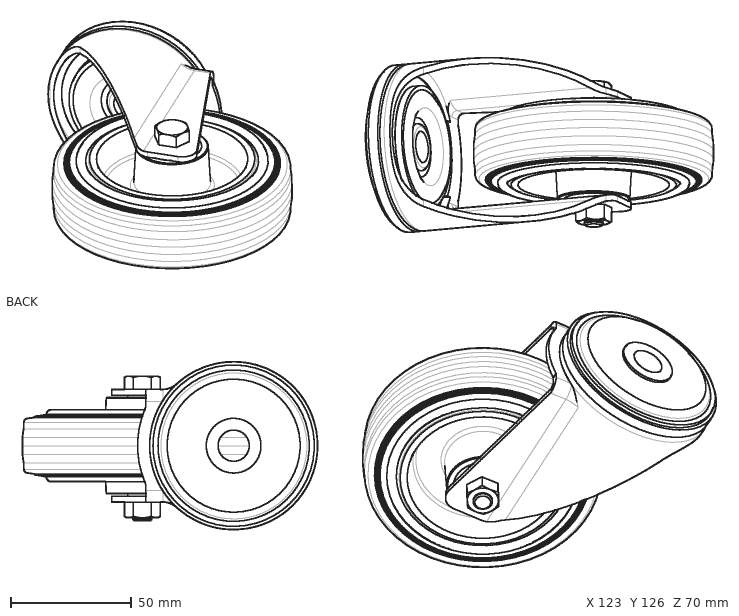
import cadquery as cq
import math


AXLE_X = 38.0
AXLE_Y = -75.0
BOLT_RADIUS = 4.0

SLEEVE_RIM_HEIGHT = 1.0
SLEEVE_RIM_RADIUS = 11.4
SLEEVE_RADIUS = 9.9
SLEEVE_BORE_RADIUS = 6.5
SLEEVE_PROTRUSION = 1.3
COVER_RADIUS = 33.6
COVER_FACE_RADIUS = 27.7
COVER_BREAK = (30.4, -2.1)
COVER_STEP_RADIUS = 31.5
COVER_STEP_Y = -2.95
COVER_BOTTOM_Y = -4.55
HEAD_RADIUS = 35.0
HEAD_TOP_Y = -8.8
HEAD_EDGE_RADIUS = 2.8

SHEET = 2.5
ARM_OUTSIDE_Z = 23.5
ARM_INSIDE_Z = ARM_OUTSIDE_Z - SHEET
ARM_BEND_RADIUS = 8.5
WEB_TOP_Y = -11.65
WEB_BEND_RADIUS = 5.0
TONGUE_RADIUS = 40.0
TONGUE_HALF_WIDTH = 16.0
SKIRT_BOTTOM_Y = -14.3
ARM_BOTTOM_Y = -88.6
ARM_REAR_TOP = (36.5, -16.5)
ARM_REAR_BOTTOM = (52.3, ARM_BOTTOM_Y)
ARM_FRONT_TOP = (-24.3, SKIRT_BOTTOM_Y)
ARM_FRONT_BOTTOM = (28.0, ARM_BOTTOM_Y)
SKIRT_CURVE_RADIUS = 19.0
ARM_FRONT_CORNER_RADIUS = 6.5
ARM_REAR_CORNER_RADIUS = 6.1

RACE_RING_RADIUS = 29.9
RACE_RING_BORE_RADIUS = 25.5
RACE_RING_ROOT_Y = -11.8
RACE_RING_BOTTOM_Y = -13.2
RACE_RING_EDGE_Y = -12.3
CUP_SHOULDER_Y = -15.5
CUP_RADIUS = 23.7
CUP_BOTTOM_Y = -17.5
DISH_EDGE_RADIUS = 16.3
DISH_EDGE_Y = -16.1
DISH_FLOOR_RADIUS = 12.4
DISH_FLOOR_Y = -12.3

TREAD_POINTS = ((50.0, 0.0), (50.0, 3.5), (49.5, 7.1), (49.4, 9.8))
SHOULDER_MIDDLE = (49.0, 10.8)
SHOULDER_END = (47.9, 11.4)
TYRE_LIP = ((45.1, 11.8), (44.7, 12.3), (44.3, 11.9), (43.9, 12.4), (43.5, 12.0), (43.1, 12.5))
RIM_RADIUS = 42.8
RIM_EDGE_Z = 12.5
BEAD_TOP_Z = 15.0
BEAD_RADIUS = 2.0
BEAD_CENTRE_RADIUS = 38.0
BEAD_ROOT_Z = 13.0
POCKET_RIM_Z = 14.0
POCKET_RIM_RADIUS = 34.4
POCKET_STEP = (35.0, 13.6)
POCKET_RADIUS = 31.5
POCKET_FLOOR_RADIUS = 29.2
POCKET_FLOOR_Z = 1.5
POCKET_FILLET = 1.2
HUB_RADIUS = 15.1
HUB_ROOT_RADIUS = 16.0
HUB_FILLET = 1.5
HUB_HALF_LENGTH = 20.1
HUB_CHAMFER = 0.4
BUSHING_RADIUS = 12.3
COLLAR_RADIUS = 6.1

HEX_ACROSS_FLATS = 13.0
HEX_CHAMFER_ANGLE = math.radians(30)
BOLT_HEAD_HEIGHT = 5.5
NUT_HEIGHT = 6.5
BOLT_PROTRUSION = 1.3
BOLT_END_CHAMFER = 0.7


def disc(radius, top_y, bottom_y):
    """Plain disc on the swivel axis."""
    return cq.Workplane("XZ", origin=(0, top_y, 0)).circle(radius).extrude(top_y - bottom_y)


def axle_disc(radius, low_z, high_z):
    """Plain disc on the wheel axle."""
    return cq.Workplane("XY", origin=(AXLE_X, AXLE_Y, low_z)).circle(radius).extrude(high_z - low_z)


def turned_on_axle(profile):
    """Revolve a closed profile, drawn as (radius, Z), and move it to the axle."""
    return profile.revolve(360, (0, 0), (0, 1)).translate((AXLE_X, AXLE_Y, 0))


def make_sleeve():
    end_y = DISH_FLOOR_Y - SLEEVE_PROTRUSION
    rim = disc(SLEEVE_RIM_RADIUS, SLEEVE_RIM_HEIGHT, 0)
    shank = disc(SLEEVE_RADIUS, 0, end_y).faces("<Y").edges().fillet(SLEEVE_PROTRUSION)
    return rim.union(shank).cut(disc(SLEEVE_BORE_RADIUS, SLEEVE_RIM_HEIGHT, end_y))


def make_cover():
    profile = (
        cq.Workplane("XY")
        .moveTo(SLEEVE_RADIUS, 0)
        .lineTo(COVER_FACE_RADIUS, 0)
        .lineTo(*COVER_BREAK)
        .lineTo(COVER_STEP_RADIUS, COVER_STEP_Y)
        .lineTo(COVER_RADIUS, COVER_STEP_Y)
        .lineTo(COVER_RADIUS, COVER_BOTTOM_Y)
        .lineTo(SLEEVE_RADIUS, COVER_BOTTOM_Y)
        .close()
    )
    return profile.revolve(360, (0, 0), (0, 1))


def make_seal_ring():
    ring = disc(HEAD_RADIUS, COVER_BOTTOM_Y, HEAD_TOP_Y)
    return ring.cut(disc(SLEEVE_RADIUS, COVER_BOTTOM_Y, HEAD_TOP_Y))


def make_race_cup():
    """Rolled cup hanging below the fork head, with a conical dish in its middle."""
    roll_middle = ((CUP_RADIUS + DISH_EDGE_RADIUS) / 2, CUP_BOTTOM_Y)
    profile = (
        cq.Workplane("XY")
        .moveTo(SLEEVE_RADIUS, WEB_TOP_Y)
        .lineTo(RACE_RING_BORE_RADIUS, WEB_TOP_Y)
        .lineTo(RACE_RING_BORE_RADIUS, CUP_SHOULDER_Y)
        .lineTo(CUP_RADIUS, CUP_SHOULDER_Y)
        .threePointArc(roll_middle, (DISH_EDGE_RADIUS, DISH_EDGE_Y))
        .lineTo(DISH_FLOOR_RADIUS, DISH_FLOOR_Y)
        .lineTo(SLEEVE_RADIUS, DISH_FLOOR_Y)
        .close()
    )
    return profile.revolve(360, (0, 0), (0, 1))


def fork_block(skirt_radius, bend_radius, half_width, top_y, top_fillet):
    """Block below top_y: round at the front, bending into two parallel flat sides at the rear."""
    reach = skirt_radius + bend_radius
    bend_z = half_width + bend_radius
    bend_x = math.sqrt(reach**2 - bend_z**2)
    touch_x = bend_x * skirt_radius / reach
    touch_z = bend_z * skirt_radius / reach
    middle_angle = (math.atan2(-bend_z, -bend_x) - math.pi / 2) / 2
    middle_x = bend_x + bend_radius * math.cos(middle_angle)
    middle_z = bend_z + bend_radius * math.sin(middle_angle)
    rear_x = ARM_REAR_BOTTOM[0] + SHEET
    outline = (
        cq.Workplane("XZ", origin=(0, top_y, 0))
        .moveTo(rear_x, half_width)
        .lineTo(bend_x, half_width)
        .threePointArc((middle_x, middle_z), (touch_x, touch_z))
        .threePointArc((-skirt_radius, 0), (touch_x, -touch_z))
        .threePointArc((middle_x, -middle_z), (bend_x, -half_width))
        .lineTo(rear_x, -half_width)
        .close()
    )
    block = outline.extrude(top_y - ARM_BOTTOM_Y)
    return block.faces(">Y").edges("not(>X)").fillet(top_fillet)


def tangent_corner(start, corner, end, radius):
    """Start, middle and end of the arc that rounds a corner."""
    here = cq.Vector(*corner)
    back = (cq.Vector(*start) - here).normalized()
    ahead = (cq.Vector(*end) - here).normalized()
    half_angle = back.getAngle(ahead) / 2
    leg = radius / math.tan(half_angle)
    bisector = (back + ahead).normalized()
    middle = here + bisector * (radius / math.sin(half_angle) - radius)
    return [(p.x, p.y) for p in (here + back * leg, middle, here + ahead * leg)]


def arm_trim():
    """Side outline of the fork, extruded across the full width."""
    front = (-HEAD_RADIUS, SKIRT_BOTTOM_Y)
    skirt = tangent_corner(front, ARM_FRONT_TOP, ARM_FRONT_BOTTOM, SKIRT_CURVE_RADIUS)
    front_toe = tangent_corner(ARM_FRONT_TOP, ARM_FRONT_BOTTOM, ARM_REAR_BOTTOM, ARM_FRONT_CORNER_RADIUS)
    rear_toe = tangent_corner(ARM_FRONT_BOTTOM, ARM_REAR_BOTTOM, ARM_REAR_TOP, ARM_REAR_CORNER_RADIUS)
    outline = cq.Workplane("XY").moveTo(-HEAD_RADIUS, 0).lineTo(*front)
    for start, middle, end in (skirt, front_toe, rear_toe):
        outline = outline.lineTo(*start).threePointArc(middle, end)
    outline = outline.lineTo(*ARM_REAR_TOP).lineTo(ARM_REAR_TOP[0], 0).close()
    return outline.extrude(HEAD_RADIUS, both=True)


def make_race_ring():
    """Rolled ring under the fork head that surrounds the race cup."""
    roll_middle = ((RACE_RING_RADIUS + RACE_RING_BORE_RADIUS) / 2, RACE_RING_BOTTOM_Y)
    profile = (
        cq.Workplane("XY")
        .moveTo(RACE_RING_BORE_RADIUS, WEB_TOP_Y)
        .lineTo(RACE_RING_RADIUS, WEB_TOP_Y)
        .lineTo(RACE_RING_RADIUS, RACE_RING_ROOT_Y)
        .threePointArc(roll_middle, (RACE_RING_BORE_RADIUS, RACE_RING_EDGE_Y))
        .close()
    )
    return profile.revolve(360, (0, 0), (0, 1))


def make_fork():
    outside = fork_block(HEAD_RADIUS, ARM_BEND_RADIUS, ARM_OUTSIDE_Z, WEB_TOP_Y, WEB_BEND_RADIUS)
    outside = outside.union(disc(HEAD_RADIUS, WEB_TOP_Y, ARM_BOTTOM_Y)).intersect(arm_trim())
    inside = fork_block(
        HEAD_RADIUS - SHEET, ARM_BEND_RADIUS + SHEET, ARM_INSIDE_Z, WEB_TOP_Y - SHEET, SHEET
    )
    race_clearance = disc(HEAD_RADIUS - SHEET, WEB_TOP_Y, ARM_BOTTOM_Y).faces(">Y").edges().fillet(SHEET)
    tongue = disc(TONGUE_RADIUS, WEB_TOP_Y, WEB_TOP_Y - SHEET)
    tongue = tongue.cut(disc(HEAD_RADIUS - 2 * SHEET, WEB_TOP_Y, WEB_TOP_Y - SHEET))
    tongue = tongue.intersect(
        cq.Workplane("XY").box(
            TONGUE_RADIUS, -2 * SKIRT_BOTTOM_Y, 2 * TONGUE_HALF_WIDTH, centered=(False, True, True)
        )
    )
    head = disc(HEAD_RADIUS, HEAD_TOP_Y, WEB_TOP_Y)
    head = head.faces(">Y").edges().fillet(HEAD_EDGE_RADIUS)
    fork = outside.cut(inside).cut(race_clearance).union(head).union(make_race_ring()).union(tongue)
    fork = fork.cut(disc(SLEEVE_RADIUS, 0, WEB_TOP_Y))
    return fork.cut(axle_disc(BOLT_RADIUS, -HEAD_RADIUS, HEAD_RADIUS))


def mirrored(half):
    """Join a half body above Z = 0 to its mirror image."""
    return half.union(half.mirror("XY"))


def make_tyre():
    profile = cq.Workplane("XZ").moveTo(RIM_RADIUS, 0)
    for point in TREAD_POINTS:
        profile = profile.lineTo(*point)
    profile = profile.threePointArc(SHOULDER_MIDDLE, SHOULDER_END)
    for point in TYRE_LIP:
        profile = profile.lineTo(*point)
    return mirrored(turned_on_axle(profile.lineTo(RIM_RADIUS, RIM_EDGE_Z).close()))


def make_rim():
    bead_outer = BEAD_CENTRE_RADIUS + BEAD_RADIUS
    bead_inner = BEAD_CENTRE_RADIUS - BEAD_RADIUS
    profile = (
        cq.Workplane("XZ")
        .moveTo(BUSHING_RADIUS, 0)
        .lineTo(BUSHING_RADIUS, HUB_HALF_LENGTH)
        .lineTo(HUB_RADIUS - HUB_CHAMFER, HUB_HALF_LENGTH)
        .lineTo(HUB_RADIUS, HUB_HALF_LENGTH - HUB_CHAMFER)
        .lineTo(HUB_ROOT_RADIUS, POCKET_FLOOR_Z + HUB_FILLET)
        .radiusArc((HUB_ROOT_RADIUS + HUB_FILLET, POCKET_FLOOR_Z), -HUB_FILLET)
        .lineTo(POCKET_FLOOR_RADIUS - POCKET_FILLET, POCKET_FLOOR_Z)
        .radiusArc((POCKET_FLOOR_RADIUS, POCKET_FLOOR_Z + POCKET_FILLET), -POCKET_FILLET)
        .lineTo(POCKET_RADIUS, POCKET_RIM_Z)
        .lineTo(POCKET_RIM_RADIUS, POCKET_RIM_Z)
        .lineTo(*POCKET_STEP)
        .lineTo(bead_inner, BEAD_ROOT_Z)
        .threePointArc((BEAD_CENTRE_RADIUS, BEAD_TOP_Z), (bead_outer, BEAD_ROOT_Z))
        .lineTo(RIM_RADIUS, RIM_EDGE_Z)
        .lineTo(RIM_RADIUS, 0)
        .close()
    )
    return mirrored(turned_on_axle(profile))


def make_bushing():
    """Bearing bush flush with the hub, with a narrower collar reaching the fork arms."""
    bushing = axle_disc(BUSHING_RADIUS, -HUB_HALF_LENGTH, HUB_HALF_LENGTH)
    collar = axle_disc(COLLAR_RADIUS, -ARM_INSIDE_Z, ARM_INSIDE_Z)
    return bushing.union(collar).cut(axle_disc(BOLT_RADIUS, -ARM_INSIDE_Z, ARM_INSIDE_Z))


def hexagon(height):
    """Hexagon standing on the arm, its outer corners chamfered by a cone."""
    corner_radius = HEX_ACROSS_FLATS / math.sqrt(3)
    flat_radius = HEX_ACROSS_FLATS / 2
    drop = (corner_radius - flat_radius) * math.tan(HEX_CHAMFER_ANGLE)
    prism = cq.Workplane("XY").polygon(6, 2 * corner_radius).extrude(height)
    cone = (
        cq.Workplane("XZ")
        .moveTo(0, 0)
        .lineTo(corner_radius, 0)
        .lineTo(corner_radius, height - drop)
        .lineTo(flat_radius, height)
        .lineTo(0, height)
        .close()
        .revolve(360, (0, 0), (0, 1))
    )
    return prism.intersect(cone).translate((AXLE_X, AXLE_Y, ARM_OUTSIDE_Z))


def make_bolt():
    end_z = -(ARM_OUTSIDE_Z + NUT_HEIGHT + BOLT_PROTRUSION)
    shank = axle_disc(BOLT_RADIUS, end_z, ARM_OUTSIDE_Z).faces("<Z").chamfer(BOLT_END_CHAMFER)
    return hexagon(BOLT_HEAD_HEIGHT).union(shank)


def make_nut():
    nut = hexagon(NUT_HEIGHT).mirror("XY")
    return nut.cut(axle_disc(BOLT_RADIUS, -HEAD_RADIUS, 0))


sleeve = make_sleeve()
cover = make_cover()
seal_ring = make_seal_ring()
race_cup = make_race_cup()
fork = make_fork()
tyre = make_tyre()
rim = make_rim()
bushing = make_bushing()
bolt = make_bolt()
nut = make_nut()

bodies = (sleeve, cover, seal_ring, race_cup, fork, tyre, rim, bushing, bolt, nut)
result = cq.Compound.makeCompound([solid for body in bodies for solid in body.vals()])